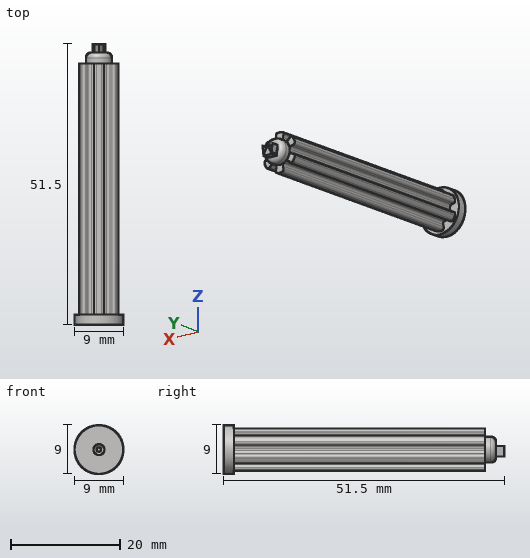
import cadquery as cq
import math

TOTAL_LENGTH = 51.5
FLANGE_THICKNESS = 1.9
NECK_START = 48.0
KEY_LENGTH = 1.5
KEY_START = TOTAL_LENGTH - KEY_LENGTH

FLANGE_RADIUS = 4.5
NECK_RADIUS = 2.4
NECK_ROUNDING = 1.0

TOOTH_COUNT = 6
FIRST_TOOTH_ANGLE = 90.0
TIP_RADIUS = 3.9
ROOT_RADIUS = 2.4
TIP_HALF_ANGLE = 7.0
FLANK_UNDERCUT = 15.0
FLANK_NORMAL = 90 + FLANK_UNDERCUT
TIP_ROUNDING = 0.5
ROOT_ROUNDING = 0.5

CENTRE_MOUTH_RADIUS = 1.0
CENTRE_BOTTOM_RADIUS = 0.4
CENTRE_CONE_HALF_ANGLE = 45.0

KEY_TOP_HALF_WIDTH = 1.2
KEY_BASE_HALF_WIDTH = 0.95
KEY_TOP = 0.7
KEY_BOTTOM = -1.3
KEY_VALLEY_X = 0.8
KEY_VALLEY_Z = -0.9


def polar(radius, angle):
    """Point at a radius and an angle in degrees."""
    return (radius * math.cos(math.radians(angle)), radius * math.sin(math.radians(angle)))


def moved(point, distance, angle):
    """Point at a distance from another, in the direction of an angle in degrees."""
    dx, dy = polar(distance, angle)
    return (point[0] + dx, point[1] + dy)


def section_plane(y):
    """Plane across the part axis whose local x and y are X and Z; it extrudes toward -Y."""
    return cq.Workplane("XZ", origin=(0, y, 0))


def disc(radius, start, end):
    return section_plane(start).circle(radius).extrude(start - end)


def root_rounding_centre():
    """Polar radius and angle, from the tooth axis, of the arc joining a flank to the root."""
    tip_centre = polar(TIP_RADIUS - TIP_ROUNDING, TIP_HALF_ANGLE)
    offset = moved(tip_centre, TIP_ROUNDING + ROOT_ROUNDING, FLANK_NORMAL)
    inward_x, inward_y = polar(1, FLANK_NORMAL + 90)
    centre_radius = ROOT_RADIUS + ROOT_ROUNDING
    along = offset[0] * inward_x + offset[1] * inward_y
    gap = offset[0] ** 2 + offset[1] ** 2 - centre_radius**2
    travel = -along - math.sqrt(along**2 - gap)
    centre = (offset[0] + travel * inward_x, offset[1] + travel * inward_y)
    return centre_radius, math.degrees(math.atan2(centre[1], centre[0]))


def splined_shaft():
    """Shaft with undercut round-cornered teeth."""
    pitch = 360 / TOOTH_COUNT
    root_centre_radius, root_angle = root_rounding_centre()
    tip_middle = (TIP_HALF_ANGLE + FLANK_NORMAL) / 2
    root_middle = (root_angle + FLANK_NORMAL) / 2
    start = polar(TIP_RADIUS, FIRST_TOOTH_ANGLE - TIP_HALF_ANGLE)
    outline = section_plane(FLANGE_THICKNESS).moveTo(*start)
    for tooth in range(TOOTH_COUNT):
        axis = FIRST_TOOTH_ANGLE + tooth * pitch
        next_axis = axis + pitch
        tip_centre = polar(TIP_RADIUS - TIP_ROUNDING, axis + TIP_HALF_ANGLE)
        left_root = polar(root_centre_radius, axis + root_angle)
        right_root = polar(root_centre_radius, next_axis - root_angle)
        next_tip = polar(TIP_RADIUS - TIP_ROUNDING, next_axis - TIP_HALF_ANGLE)
        outline = (
            outline.threePointArc(polar(TIP_RADIUS, axis), polar(TIP_RADIUS, axis + TIP_HALF_ANGLE))
            .threePointArc(
                moved(tip_centre, TIP_ROUNDING, axis + tip_middle),
                moved(tip_centre, TIP_ROUNDING, axis + FLANK_NORMAL),
            )
            .lineTo(*moved(left_root, -ROOT_ROUNDING, axis + FLANK_NORMAL))
            .threePointArc(
                moved(left_root, -ROOT_ROUNDING, axis + root_middle),
                polar(ROOT_RADIUS, axis + root_angle),
            )
            .threePointArc(
                polar(ROOT_RADIUS, axis + pitch / 2),
                polar(ROOT_RADIUS, next_axis - root_angle),
            )
            .threePointArc(
                moved(right_root, -ROOT_ROUNDING, next_axis - root_middle),
                moved(right_root, -ROOT_ROUNDING, next_axis - FLANK_NORMAL),
            )
            .lineTo(*moved(next_tip, TIP_ROUNDING, next_axis - FLANK_NORMAL))
            .threePointArc(
                moved(next_tip, TIP_ROUNDING, next_axis - tip_middle),
                polar(TIP_RADIUS, next_axis - TIP_HALF_ANGLE),
            )
        )
    return outline.close().extrude(FLANGE_THICKNESS - NECK_START)


def neck():
    return disc(NECK_RADIUS, NECK_START, KEY_START).faces(">Y").edges().fillet(NECK_ROUNDING)


def crown_key():
    """Three upward points on a flat, slightly narrower base."""
    return (
        section_plane(KEY_START)
        .moveTo(-KEY_BASE_HALF_WIDTH, KEY_BOTTOM)
        .lineTo(KEY_BASE_HALF_WIDTH, KEY_BOTTOM)
        .lineTo(KEY_TOP_HALF_WIDTH, KEY_TOP)
        .lineTo(KEY_VALLEY_X, KEY_VALLEY_Z)
        .lineTo(0, KEY_TOP)
        .lineTo(-KEY_VALLEY_X, KEY_VALLEY_Z)
        .lineTo(-KEY_TOP_HALF_WIDTH, KEY_TOP)
        .close()
        .extrude(-KEY_LENGTH)
    )


def centre_hole():
    """Flat-bottomed conical recess in the flange face."""
    radius_change = CENTRE_MOUTH_RADIUS - CENTRE_BOTTOM_RADIUS
    depth = radius_change / math.tan(math.radians(CENTRE_CONE_HALF_ANGLE))
    cone = cq.Solid.makeCone(
        CENTRE_MOUTH_RADIUS,
        CENTRE_BOTTOM_RADIUS,
        depth,
        pnt=cq.Vector(0, 0, 0),
        dir=cq.Vector(0, 1, 0),
    )
    return cq.Workplane(cone)


result = (
    disc(FLANGE_RADIUS, 0, FLANGE_THICKNESS)
    .union(splined_shaft())
    .union(neck())
    .union(crown_key())
    .cut(centre_hole())
)